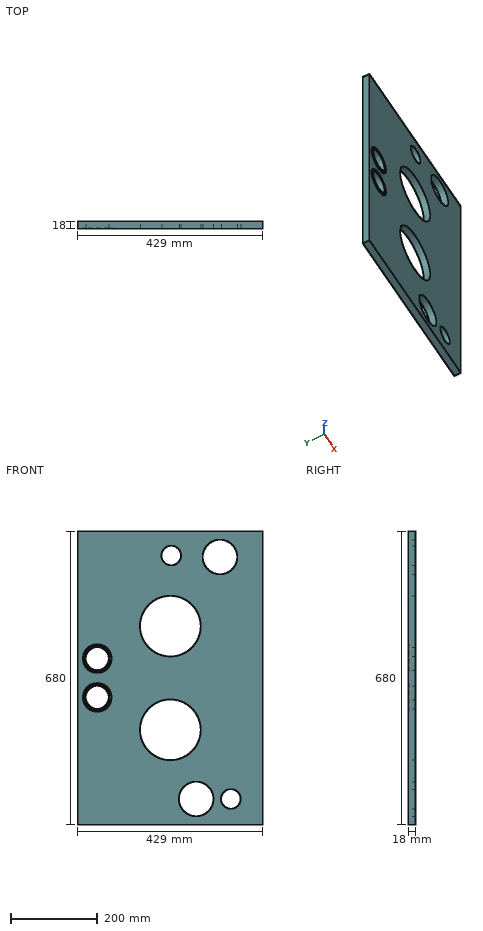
import cadquery as cq

PLATE_WIDTH = 429.0
PLATE_THICKNESS = 18.0
PLATE_HEIGHT = 680.0
FRONT_Y = -PLATE_THICKNESS / 2

LARGE_DIAMETER = 140.0
LARGE_SPACING = 240.0

MEDIUM_DIAMETER = 79.5
SMALL_DIAMETER = 45.0
MEDIUM_TOP_CENTER = (115.0, 280.0)
MEDIUM_BOTTOM_CENTER = (60.0, -280.0)
SMALL_TOP_CENTER = (2.0, 283.5)
SMALL_BOTTOM_CENTER = (140.0, -280.0)

GROOVED_X = -169.0
GROOVED_SPACING = 90.0
BORE_DIAMETER = 53.0
GROOVE_INNER_DIAMETER = 59.0
GROOVE_OUTER_DIAMETER = 66.5
GROOVE_DEPTH = 2.0


def front_cylinder(center, diameter, depth):
    """Cylinder running back from the front face, centred at (x, z)."""
    x, z = center
    start = cq.Vector(x, FRONT_Y, z)
    return cq.Workplane(cq.Solid.makeCylinder(diameter / 2, depth, start, cq.Vector(0, 1, 0)))


def grooved_hole(center):
    """Through bore with a shallow ring groove around it in the front face."""
    bore = front_cylinder(center, BORE_DIAMETER, PLATE_THICKNESS)
    groove = front_cylinder(center, GROOVE_OUTER_DIAMETER, GROOVE_DEPTH)
    groove = groove.cut(front_cylinder(center, GROOVE_INNER_DIAMETER, GROOVE_DEPTH))
    return bore.union(groove)


result = cq.Workplane("XY").box(PLATE_WIDTH, PLATE_THICKNESS, PLATE_HEIGHT)

through_holes = [
    (MEDIUM_TOP_CENTER, MEDIUM_DIAMETER),
    (MEDIUM_BOTTOM_CENTER, MEDIUM_DIAMETER),
    (SMALL_TOP_CENTER, SMALL_DIAMETER),
    (SMALL_BOTTOM_CENTER, SMALL_DIAMETER),
    ((0, LARGE_SPACING / 2), LARGE_DIAMETER),
    ((0, -LARGE_SPACING / 2), LARGE_DIAMETER),
]
for center, diameter in through_holes:
    result = result.cut(front_cylinder(center, diameter, PLATE_THICKNESS))

for side in (1, -1):
    result = result.cut(grooved_hole((GROOVED_X, side * GROOVED_SPACING / 2)))